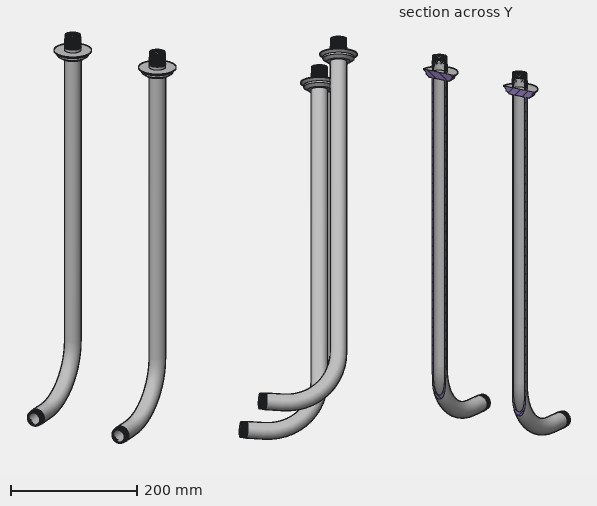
import cadquery as cq

total_height = 623.0
arm_spacing = 152.5

pipe_diameter = 27.0
pipe_radius = pipe_diameter / 2
bore_radius = 10.0
bend_radius = 89.0
outlet_length = 38.0
outlet_axis_z = pipe_radius
bend_top_z = outlet_axis_z + bend_radius
outlet_end_y = -(bend_radius + outlet_length)

thread_pitch = 2.0
thread_depth = 1.0
thread_end_radius = 12.5
top_thread_grooves = 11
outlet_thread_grooves = 5

flange_radius = 30.0
flange_top_z = 597.5
flange_rim = 1.0
step_radius = 25.0
step_top_z = 592.5
step_bottom_z = 589.5
flange_bottom_radius = 19.0
flange_bottom_z = 585.0
neck_radius = 13.0
neck_top_z = total_height - top_thread_grooves * thread_pitch


def sweep_along_pipe(radius):
    """Round bar swept from the top, down the drop, around the bend and out to the outlet end."""
    path = (
        cq.Workplane("YZ")
        .moveTo(0, total_height)
        .lineTo(0, bend_top_z)
        .radiusArc((-bend_radius, outlet_axis_z), bend_radius)
        .lineTo(outlet_end_y, outlet_axis_z)
    )
    return cq.Workplane("XY", origin=(0, 0, total_height)).circle(radius).sweep(path)


def make_flange():
    """Round flange, flat on top, with a straight-sided step between two cones underneath."""
    return (
        cq.Workplane("XZ")
        .moveTo(0, flange_top_z)
        .lineTo(flange_radius, flange_top_z)
        .lineTo(flange_radius, flange_top_z - flange_rim)
        .lineTo(step_radius, step_top_z)
        .lineTo(step_radius, step_bottom_z)
        .lineTo(flange_bottom_radius, flange_bottom_z)
        .lineTo(0, flange_bottom_z)
        .close()
        .revolve(360, (0, 0, 0), (0, 1, 0))
    )


def make_neck_cutter():
    """Ring that thins the pipe between the flange and the top thread."""
    return (
        cq.Workplane("XY", origin=(0, 0, flange_top_z))
        .circle(flange_radius)
        .circle(neck_radius)
        .extrude(neck_top_z - flange_top_z)
    )


def make_thread_cutter(groove_count):
    """Ring with a toothed inner wall that cuts a tapered thread below an end face at Z = 0."""
    clear_radius = pipe_radius + thread_depth
    taper = (pipe_radius - thread_end_radius) / groove_count
    profile = cq.Workplane("XZ").moveTo(clear_radius, 0).lineTo(thread_end_radius, 0)
    for i in range(groove_count):
        groove_radius = thread_end_radius + (i + 0.5) * taper - thread_depth
        crest_radius = thread_end_radius + (i + 1) * taper
        profile = profile.lineTo(groove_radius, -(i + 0.5) * thread_pitch)
        profile = profile.lineTo(crest_radius, -(i + 1) * thread_pitch)
    profile = profile.lineTo(clear_radius, -groove_count * thread_pitch).close()
    return profile.revolve(360, (0, 0, 0), (0, 1, 0))


def make_bore():
    """Bore of the whole pipe, interrupted by a solid web as thick as the flange."""
    web = (
        cq.Workplane("XY", origin=(0, 0, flange_bottom_z))
        .circle(pipe_radius)
        .extrude(flange_top_z - flange_bottom_z)
    )
    return sweep_along_pipe(bore_radius).cut(web)


def make_shower_arm():
    """One hollow arm with its flange and both threaded ends, the drop on the Z axis."""
    top_thread = make_thread_cutter(top_thread_grooves).translate((0, 0, total_height))
    outlet_thread = (
        make_thread_cutter(outlet_thread_grooves)
        .rotate((0, 0, 0), (1, 0, 0), 90)
        .translate((0, outlet_end_y, outlet_axis_z))
    )
    return (
        sweep_along_pipe(pipe_radius)
        .union(make_flange())
        .cut(make_neck_cutter())
        .cut(top_thread)
        .cut(outlet_thread)
        .cut(make_bore())
    )


shower_arm = make_shower_arm()
arms = []
for side in (-1, 1):
    placed_arm = shower_arm.translate((side * arm_spacing / 2, 0, 0))
    arms.extend(placed_arm.solids().vals())
result = cq.Compound.makeCompound(arms)